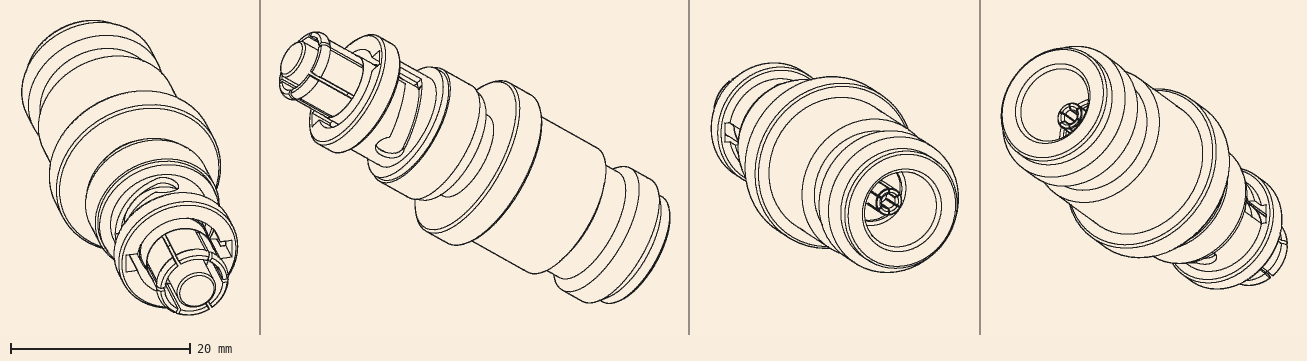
import cadquery as cq
import math


FACE_RADIUS = 6.45
THREAD_ROOT_RADIUS = 6.75
THREAD_RADIUS = 7.8
BARREL_RADIUS = 7.95
FLANGE_RADIUS = 9.5
NECK_RADIUS = 5.15
TUBE_RADIUS = 4.03
TUBE_END = 38.8
THREAD_START = 1.5
THREAD_END = 6.5
BARREL_START = 9.55
BARREL_CONE_LENGTH = 0.7
FLANGE_START = 20.25
FLANGE_END = 23.9
EDGE_CHAMFER = 0.3

MOUTH_RADIUS = 4.75
BORE_RADIUS = 4.3
BORE_END_RADIUS = 3.95
SEAT_RADIUS = 3.45
BORE_DEPTH = 8.75
SEAT_DEPTH = 9.2
CONTACT_RADIUS = 1.55
CONTACT_TIP = 3.9
CONTACT_CHAMFER = 0.1
CONTACT_HOLE_RADIUS = 0.82
CONTACT_HOLE_MOUTH = 1.1
CONTACT_HOLE_DEPTH = 2.9
CONTACT_HOLE_POINT = 0.5
CONTACT_SLOT_WIDTH = 0.12
CONTACT_SLOT_ANGLE = 30

COLLET_RADIUS = 3.85
COLLET_BASE_RADIUS = 3.9
COLLET_BORE_RADIUS = 3.35
COLLET_START = 41.3
COLLET_END = 47.25
BEAD_RADIUS = 4.1
BEAD_START = 46.0
BEAD_CREST = 46.5
COLLET_SLOT_WIDTH = 0.4
COLLET_SLOT_ANGLE = 0
SLOT_COUNT = 6
CORE_RADIUS = 2.25
CORE_END = 48.5
CORE_CHAMFER = 0.25

NUT_START = 25.8
NUT_END = 40.85
NUT_BORE_RADIUS = 4.9
GRIP_RADIUS = 7.2
COLLAR_RADIUS = 6.9
SLEEVE_RADIUS = 5.65
COLLAR_ROUND = 1.05
GRIP_START = 27.45
GRIP_END = 31.6
COLLAR_END = 32.4
RIM_START = 38.25
RIM_CHAMFER = 0.3

PIN_HOLE_RADIUS = 1.6
PIN_HOLE_X = 34.6
RAMP_RUN = 1.45
RAMP_WIDTH = 2.3
ENTRY_WIDTH = 2.2
ENTRY_REACH = 6.1


def revolved(points):
    """Solid of revolution about X from (x, radius) points."""
    return cq.Workplane("XY").polyline(points).close().revolve(360, (0, 0, 0), (1, 0, 0))


def rod(start, end, radius):
    return cq.Workplane("YZ").workplane(offset=start).circle(radius).extrude(end - start)


def radial_slots(start, end, width, reach, first_angle):
    """Cutters for equally spaced slots that run outward from the axis, past the reach."""
    cutters = cq.Workplane("XY")
    blade = cq.Workplane("XY").box(end - start, 2 * reach, width, centered=(False, False, True))
    blade = blade.translate((start, 0, 0))
    for index in range(SLOT_COUNT):
        angle = first_angle + index * 360 / SLOT_COUNT
        cutters = cutters.add(blade.rotate((0, 0, 0), (1, 0, 0), angle))
    return cutters.combine()


def jack_shell():
    thread_rise = THREAD_RADIUS - THREAD_ROOT_RADIUS
    flange_edge = FLANGE_RADIUS - EDGE_CHAMFER
    shell = revolved([
        (0, 0),
        (0, FACE_RADIUS),
        (THREAD_ROOT_RADIUS - FACE_RADIUS, THREAD_ROOT_RADIUS),
        (THREAD_START, THREAD_ROOT_RADIUS),
        (THREAD_START + thread_rise, THREAD_RADIUS),
        (THREAD_END - thread_rise, THREAD_RADIUS),
        (THREAD_END, THREAD_ROOT_RADIUS),
        (BARREL_START, THREAD_ROOT_RADIUS),
        (BARREL_START + BARREL_CONE_LENGTH, BARREL_RADIUS),
        (FLANGE_START, BARREL_RADIUS),
        (FLANGE_START, flange_edge),
        (FLANGE_START + EDGE_CHAMFER, FLANGE_RADIUS),
        (FLANGE_END - EDGE_CHAMFER, FLANGE_RADIUS),
        (FLANGE_END, flange_edge),
        (FLANGE_END, NECK_RADIUS),
        (COLLAR_END, NECK_RADIUS),
        (COLLAR_END, TUBE_RADIUS),
        (TUBE_END, TUBE_RADIUS),
        (TUBE_END, 0),
    ])
    socket = revolved([
        (0, 0),
        (0, MOUTH_RADIUS),
        (MOUTH_RADIUS - BORE_RADIUS, BORE_RADIUS),
        (BORE_DEPTH, BORE_END_RADIUS),
        (BORE_DEPTH, SEAT_RADIUS),
        (SEAT_DEPTH, SEAT_RADIUS),
        (SEAT_DEPTH, 0),
    ])
    return shell.cut(socket)


def socket_contact():
    """Slotted contact standing on the floor of the jack socket."""
    contact = rod(CONTACT_TIP, SEAT_DEPTH, CONTACT_RADIUS).faces("<X").chamfer(CONTACT_CHAMFER)
    hole_end = CONTACT_TIP + CONTACT_HOLE_DEPTH
    hole = revolved([
        (CONTACT_TIP, 0),
        (CONTACT_TIP, CONTACT_HOLE_MOUTH),
        (CONTACT_TIP + CONTACT_HOLE_MOUTH - CONTACT_HOLE_RADIUS, CONTACT_HOLE_RADIUS),
        (hole_end, CONTACT_HOLE_RADIUS),
        (hole_end + CONTACT_HOLE_POINT, 0),
    ])
    slots = radial_slots(CONTACT_TIP, hole_end, CONTACT_SLOT_WIDTH, CONTACT_RADIUS, CONTACT_SLOT_ANGLE)
    return contact.cut(hole).cut(slots)


def collet():
    """Slotted tube with a rounded bead at its end and a core along its axis."""
    rise_middle = (BEAD_START + BEAD_CREST) / 2
    fall_middle = (BEAD_CREST + COLLET_END) / 2
    shoulder_radius = BEAD_RADIUS - (BEAD_RADIUS - COLLET_RADIUS) / 6
    tube = (
        cq.Workplane("XY")
        .moveTo(COLLET_START, COLLET_BORE_RADIUS)
        .lineTo(COLLET_START, COLLET_RADIUS)
        .lineTo(BEAD_START, COLLET_RADIUS)
        .threePointArc((rise_middle, shoulder_radius), (BEAD_CREST, BEAD_RADIUS))
        .threePointArc((fall_middle, shoulder_radius), (COLLET_END, COLLET_RADIUS))
        .lineTo(COLLET_END, COLLET_BORE_RADIUS)
        .close()
        .revolve(360, (0, 0, 0), (1, 0, 0))
    )
    slots = radial_slots(COLLET_START, COLLET_END, COLLET_SLOT_WIDTH, BEAD_RADIUS, COLLET_SLOT_ANGLE)
    base = rod(TUBE_END, COLLET_START, COLLET_BASE_RADIUS)
    core = rod(TUBE_END, CORE_END, CORE_RADIUS).faces(">X").chamfer(CORE_CHAMFER)
    return tube.cut(slots).union(base).union(core)


def bayonet_slot():
    """Pin hole on top, a ramp to the -Y side and an entry slot under the rim to the nut end."""
    reach = SLEEVE_RADIUS
    ramp_start = PIN_HOLE_X - PIN_HOLE_RADIUS
    ramp_end = ramp_start + RAMP_RUN
    pin_hole = cq.Workplane("XY").center(PIN_HOLE_X, 0).circle(PIN_HOLE_RADIUS).extrude(reach)
    ramp = (
        cq.Workplane("XY")
        .polyline([
            (ramp_start, 0),
            (ramp_end, -reach),
            (ramp_end + RAMP_WIDTH, -reach),
            (ramp_start + RAMP_WIDTH, 0),
        ])
        .close()
        .extrude(reach)
    )
    entry = (
        cq.Workplane("XY")
        .box(NUT_END - ramp_end, ENTRY_REACH, ENTRY_WIDTH, centered=(False, False, True))
        .translate((ramp_end, -ENTRY_REACH, 0))
    )
    return pin_hole.union(ramp).union(entry)


def coupling_nut():
    round_offset = COLLAR_ROUND * (1 - math.sqrt(0.5))
    rim_edge = COLLAR_RADIUS - RIM_CHAMFER
    nut = (
        cq.Workplane("XY")
        .moveTo(NUT_START, NECK_RADIUS)
        .lineTo(NUT_START, COLLAR_RADIUS - COLLAR_ROUND)
        .threePointArc(
            (NUT_START + round_offset, COLLAR_RADIUS - round_offset),
            (NUT_START + COLLAR_ROUND, COLLAR_RADIUS),
        )
        .lineTo(GRIP_START, COLLAR_RADIUS)
        .lineTo(GRIP_START, GRIP_RADIUS)
        .lineTo(GRIP_END, GRIP_RADIUS)
        .lineTo(GRIP_END, COLLAR_RADIUS)
        .lineTo(COLLAR_END, COLLAR_RADIUS)
        .lineTo(COLLAR_END, SLEEVE_RADIUS)
        .lineTo(RIM_START, SLEEVE_RADIUS)
        .lineTo(RIM_START, rim_edge)
        .lineTo(RIM_START + RIM_CHAMFER, COLLAR_RADIUS)
        .lineTo(NUT_END - RIM_CHAMFER, COLLAR_RADIUS)
        .lineTo(NUT_END, rim_edge)
        .lineTo(NUT_END, NUT_BORE_RADIUS)
        .lineTo(COLLAR_END, NUT_BORE_RADIUS)
        .lineTo(COLLAR_END, NECK_RADIUS)
        .close()
        .revolve(360, (0, 0, 0), (1, 0, 0))
    )
    for angle in (0, 180):
        nut = nut.cut(bayonet_slot().rotate((0, 0, 0), (1, 0, 0), angle))
    return nut


connector_body = jack_shell().union(socket_contact()).union(collet())
nut = coupling_nut()

result = cq.Compound.makeCompound([connector_body.val(), nut.val()])